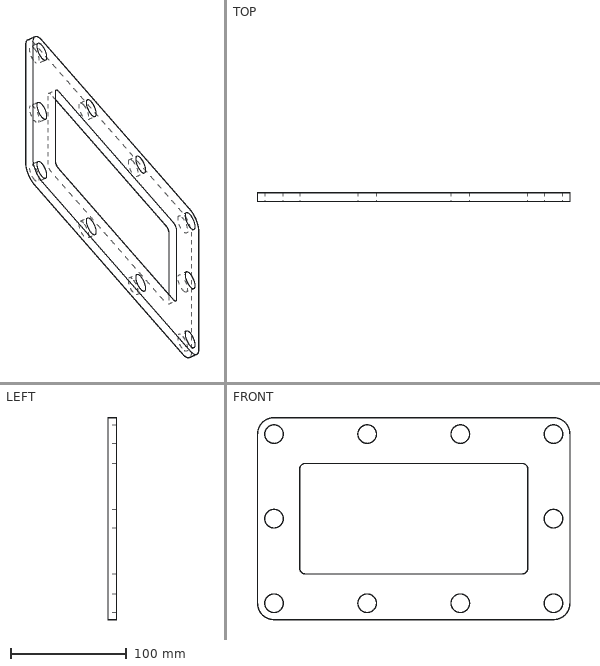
import cadquery as cq

length = 269.88
height = 174.62
thickness = 7.62

edge_inset = 14.29
hole_diameter = 15.875
hole_columns = 4
hole_rows = 3

corner_radius = edge_inset

window_length = 196.85
window_height = 95.25
window_corner_radius = 4.76


def rounded_block(block_length, block_height, radius):
    """Block of the plate's thickness, centred on the origin, with rounded corners along Y."""
    return cq.Workplane("XY").box(block_length, thickness, block_height).edges("|Y").fillet(radius)


def hole_centres():
    """X-Z grid positions that lie on the perimeter of the bolt rectangle."""
    half_span_x = length / 2 - edge_inset
    half_span_z = height / 2 - edge_inset
    pitch_x = 2 * half_span_x / (hole_columns - 1)
    pitch_z = 2 * half_span_z / (hole_rows - 1)
    centres = []
    for column in range(hole_columns):
        for row in range(hole_rows):
            on_side = column in (0, hole_columns - 1)
            on_top_or_bottom = row in (0, hole_rows - 1)
            if on_side or on_top_or_bottom:
                centres.append((column * pitch_x - half_span_x, row * pitch_z - half_span_z))
    return centres


def bolt_holes():
    """Through-hole cutters running along Y across the whole thickness."""
    return (
        cq.Workplane("XZ", origin=(0, thickness / 2, 0))
        .pushPoints(hole_centres())
        .circle(hole_diameter / 2)
        .extrude(thickness)
    )


plate = rounded_block(length, height, corner_radius)
window = rounded_block(window_length, window_height, window_corner_radius)

result = plate.cut(window).cut(bolt_holes())